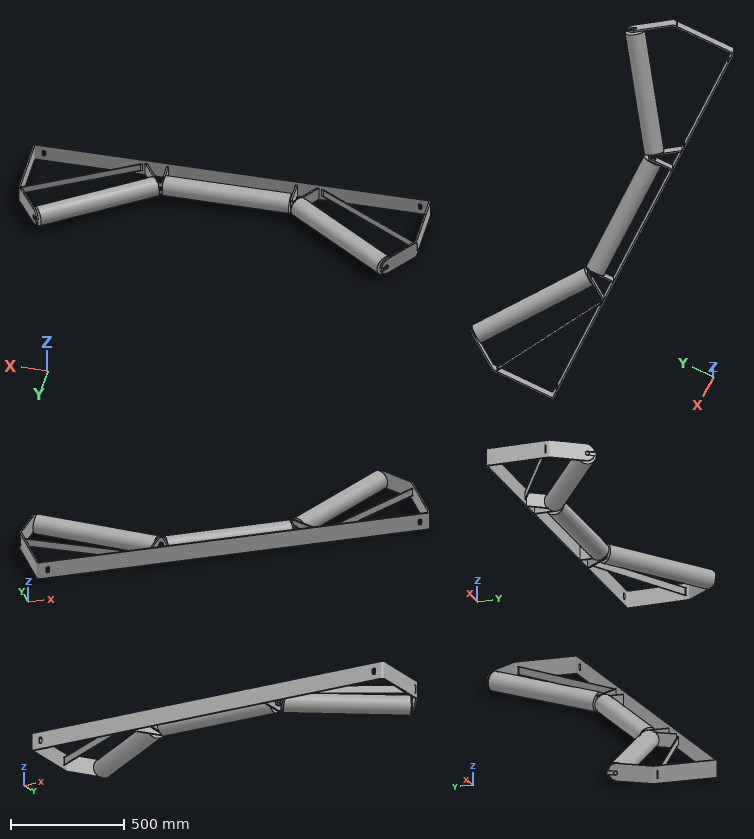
import cadquery as cq
import math

frame_length = 1800.0
total_depth = 473.0
total_height = 95.0

bar_thickness = 8.0
frame_bar_height = 81.0
bracket_bar_height = 65.0
frame_bend_radius = 8.6
bracket_bend_radius = 10.0
side_x = (frame_length - bar_thickness) / 2
side_top_y = 300.0

trough_angle = 35.0
roller_diameter = 90.0
shaft_diameter = 18.0
center_roller_length = 572.0
center_roller_y = 99.0
center_shaft_reach = 10.0
wing_roller_length = 565.0
wing_roller_x = 555.0
wing_roller_y = 274.0
wing_shaft_reach = 13.0

low_axis_z = frame_bar_height / 2 - total_height + roller_diameter / 2
high_axis_z = (frame_bar_height - roller_diameter) / 2
wing_tilt = math.degrees(math.asin((high_axis_z - low_axis_z) / wing_roller_length))

bracket_upright_x = 292.0
bracket_foot_x = 389.0

strut_angle = 29.5
strut_height = 36.0
strut_thickness = 4.5
strut_foot_x = 410.0

mounting_slot_x = 851.0
mounting_slot_width = 16.0
mounting_slot_height = 29.0

trough_slope = math.tan(math.radians(90 - trough_angle))


def mirrored(body):
    """The opposite-hand copy on the +X side."""
    return body.mirror("YZ")


def bent_bar(points, height, bend_radius):
    """Bar of constant thickness that follows a line of points in the XY plane, rounded at the bends."""
    corners = [cq.Vector(x, y, 0) for x, y in points]
    path = cq.Wire.makePolygon(corners).fillet(bend_radius)
    start = cq.Plane(origin=corners[0], xDir=(0, 0, 1), normal=corners[1] - corners[0])
    return cq.Workplane(start).rect(height, bar_thickness).sweep(cq.Workplane(path))


def on_wing_axis(body):
    """Move a body built around the X axis to the axis of the left wing roller, +X becoming its inner end."""
    tilted = body.rotate((0, 0, 0), (0, 1, 0), wing_tilt)
    turned = tilted.rotate((0, 0, 0), (0, 0, 1), -trough_angle)
    return turned.translate((-wing_roller_x, wing_roller_y, (low_axis_z + high_axis_z) / 2))


def on_center_axis(body):
    """Move a body built around the X axis to the axis of the center roller."""
    return body.translate((0, center_roller_y, low_axis_z))


def x_cylinder(diameter, length):
    return cq.Workplane("YZ").workplane(offset=-length / 2).circle(diameter / 2).extrude(length)


def make_roller(length, shaft_reach):
    """Roller along X with a shaft end standing out at each side."""
    return x_cylinder(roller_diameter, length).union(x_cylinder(shaft_diameter, length + 2 * shaft_reach))


def shaft_slots(length):
    """Cutter along X for a pair of slots, open towards +Y, that the shaft ends drop into."""
    rise = roller_diameter
    opening = cq.Workplane("XY").box(length, rise, shaft_diameter).translate((0, rise / 2, 0))
    return x_cylinder(shaft_diameter, length).union(opening)


def wing_shaft_slots():
    return on_wing_axis(shaft_slots(wing_roller_length + 4 * wing_shaft_reach))


def center_shaft_slots():
    return on_center_axis(shaft_slots(center_roller_length + 4 * center_shaft_reach))


def round_arm_end(tip_x, tip_y):
    """Cutter that leaves a full round, as high as the bar, on the end of the left arm."""
    radius = frame_bar_height / 2
    across = 4 * bar_thickness
    block = cq.Workplane("XY").box(across, 2 * radius, 2 * frame_bar_height)
    rounding = block.cut(x_cylinder(frame_bar_height, across).translate((0, -radius, 0)))
    return rounding.rotate((0, 0, 0), (0, 0, 1), -trough_angle).translate((tip_x, tip_y, 0))


def make_strut():
    """Left strut, from the back of the front bar through the side, flush with the side's outer face."""
    length = frame_length / 2
    blank = cq.Workplane("XY").box(2 * length, strut_thickness, strut_height)
    blank = blank.rotate((0, 0, 0), (0, 0, 1), -strut_angle).translate((-strut_foot_x, bar_thickness, 0))
    room = cq.Workplane("XY").box(length, total_depth, frame_bar_height, centered=(False, False, True))
    return blank.intersect(room.translate((-length, bar_thickness, 0)))


def make_frame():
    """Bent frame bar with mounting slots, shaft slots and slots for the struts."""
    tip_y = total_depth - bar_thickness / 2 * math.sin(math.radians(trough_angle))
    tip_x = side_x - (tip_y - side_top_y) / trough_slope
    left = [(-tip_x, tip_y), (-side_x, side_top_y), (-side_x, bar_thickness / 2)]
    right = [(-x, y) for x, y in reversed(left)]
    bar = bent_bar(left + right, frame_bar_height, frame_bend_radius)

    mounting_slots = (
        cq.Workplane("XZ")
        .pushPoints([(-mounting_slot_x, 0), (mounting_slot_x, 0)])
        .slot2D(mounting_slot_height, mounting_slot_width, 90)
        .extrude(-bar_thickness)
    )
    bar = bar.cut(mounting_slots)

    for cutter in (round_arm_end(-tip_x, tip_y), wing_shaft_slots(), make_strut()):
        bar = bar.cut(cutter).cut(mirrored(cutter))
    return bar


def make_bracket():
    """Left inner bracket: upright leg for the center roller, sloped leg for the wing roller."""
    peak_y = bar_thickness + (bracket_foot_x - bracket_upright_x) * trough_slope
    foot_x = bracket_foot_x + bar_thickness / trough_slope
    points = [(-foot_x, 0), (-bracket_upright_x, peak_y), (-bracket_upright_x, 0)]
    bar = bent_bar(points, bracket_bar_height, bracket_bend_radius)
    bar = bar.translate((0, 0, (bracket_bar_height - frame_bar_height) / 2))

    below = cq.Workplane("XY").box(frame_length, 2 * bar_thickness, 2 * frame_bar_height)
    return bar.cut(below).cut(wing_shaft_slots()).cut(center_shaft_slots())


frame = make_frame()
center_roller = on_center_axis(make_roller(center_roller_length, center_shaft_reach))
wing_roller = on_wing_axis(make_roller(wing_roller_length, wing_shaft_reach))
bracket = make_bracket()
strut = make_strut()

bodies = [frame.val(), center_roller.val()]
for left_body in (wing_roller, bracket, strut):
    bodies.append(left_body.val())
    bodies.append(mirrored(left_body).val())

result = cq.Compound.makeCompound(bodies)